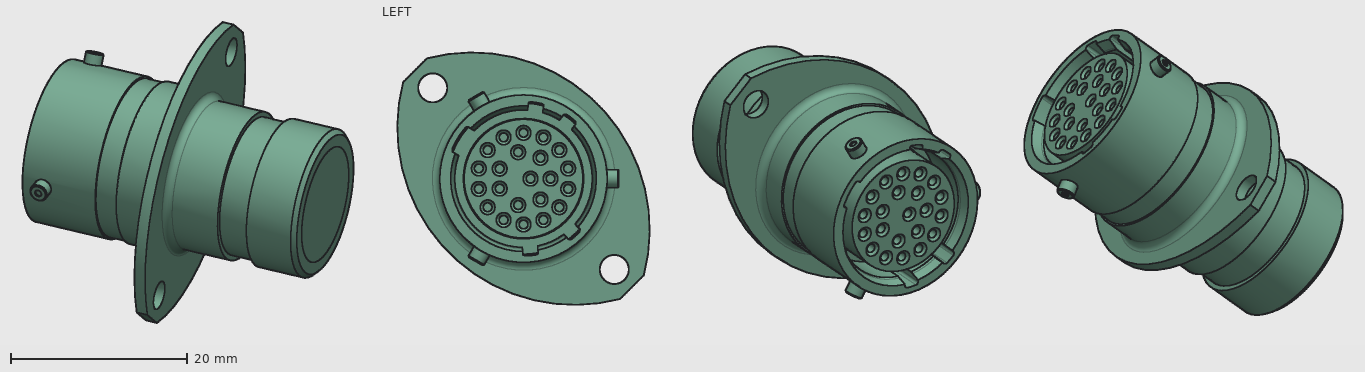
import cadquery as cq
import math


TOTAL_LENGTH = 33.3
FRONT_BARREL_END = 9.0
FRONT_GROOVE_END = 11.6
FLANGE_FRONT = 15.92
FLANGE_THICKNESS = 1.33
FLANGE_BACK = FLANGE_FRONT + FLANGE_THICKNESS
REAR_BARREL_END = 23.75
REAR_GROOVE_END = 27.3

FRONT_RADIUS = 9.5
FRONT_GROOVE_RADIUS = 9.25
REAR_RADIUS = 8.65
REAR_GROOVE_RADIUS = 8.05
FLANGE_FILLET = 0.85
REAR_CHAMFER = 0.53

FLANGE_HALF_EXTENT = 14.32
FLANGE_ARC_RADIUS = 20.12
FLANGE_ARC_OFFSET = (FLANGE_ARC_RADIUS - FLANGE_HALF_EXTENT) * math.sqrt(2)
FLANGE_TIP = 17.4
FLANGE_TILT = 45.0
MOUNT_HOLE_DISTANCE = 14.55
MOUNT_HOLE_RADIUS = 1.63

MOUTH_RADIUS = 8.25
CONE_END_RADIUS = 7.9
CONE_LENGTH = 1.2
LAND_RADIUS = 7.8
LEAD_LENGTH = 0.25
SOCKET_DEPTH = 6.65

KEYWAY_RADIUS = 8.75
KEYWAY_FILLET = 0.33
KEY_WIDTH = 1.73
MASTER_KEY_WIDTH = 3.33
KEYWAYS = [
    (9.7, KEY_WIDTH),
    (37.9, KEY_WIDTH),
    (137.7, KEY_WIDTH),
    (174.6, KEY_WIDTH),
    (301.9, MASTER_KEY_WIDTH),
]

SEAL_RADIUS = 8.65
SEAL_THICKNESS = 1.0
SEAL_CHAMFER = 0.1

INSERT_RADIUS = 6.73
INSERT_FACE = 0.53
CONTACT_MOUTH_RADIUS = 0.83
CONTACT_RADIUS = 0.5
CONTACT_CONE_DEPTH = 0.33
CONTACT_DEPTH = 2.0
OUTER_CONTACT_COUNT = 14
OUTER_CONTACT_CIRCLE = 5.2
ROW_CONTACTS = [(-0.8, 0.0), (-3.05, 0.0)]
MIRRORED_CONTACTS = [(-1.93, 2.35), (0.6, 3.0), (2.7, 1.13)]

PIN_X = 2.53
PIN_RADIUS = 1.03
PIN_SEAT = 8.75
PIN_TIP = 10.83
PIN_CHAMFER = 0.13
PIN_DIMPLE_RADIUS = 0.4
PIN_DIMPLE_DEPTH = 0.2
PIN_CLOCK_ANGLES = [90.0, 210.0, 330.0]


def axial_cylinder(radius, start, end):
    """Cylinder about the X axis between two X positions."""
    return cq.Workplane("YZ", origin=(start, 0, 0)).circle(radius).extrude(end - start)


def axial_cone(start_radius, end_radius, start, end):
    """Frustum about the X axis between two X positions."""
    profile = [(start, 0), (start, start_radius), (end, end_radius), (end, 0)]
    return cq.Workplane("XZ").polyline(profile).close().revolve(360, (0, 0, 0), (1, 0, 0))


def turn_to_clock(body, clock_angle):
    """Turn a body that points along +Z to a clock angle about the X axis."""
    return body.rotate((0, 0, 0), (1, 0, 0), clock_angle)


def make_shell_outside():
    """Turned outside of the shell, with concave fillets running up to the flange."""
    fillet_middle = FLANGE_FILLET * math.sqrt(0.5)
    front_foot = FLANGE_FRONT - FLANGE_FILLET
    front_rise = FRONT_RADIUS + FLANGE_FILLET
    rear_foot = FLANGE_BACK + FLANGE_FILLET
    rear_rise = REAR_RADIUS + FLANGE_FILLET
    return (
        cq.Workplane("XZ")
        .moveTo(0, 0)
        .lineTo(0, FRONT_RADIUS)
        .lineTo(FRONT_BARREL_END, FRONT_RADIUS)
        .lineTo(FRONT_BARREL_END, FRONT_GROOVE_RADIUS)
        .lineTo(FRONT_GROOVE_END, FRONT_GROOVE_RADIUS)
        .lineTo(FRONT_GROOVE_END, FRONT_RADIUS)
        .lineTo(front_foot, FRONT_RADIUS)
        .threePointArc((front_foot + fillet_middle, front_rise - fillet_middle), (FLANGE_FRONT, front_rise))
        .lineTo(FLANGE_BACK, front_rise)
        .lineTo(FLANGE_BACK, rear_rise)
        .threePointArc((rear_foot - fillet_middle, rear_rise - fillet_middle), (rear_foot, REAR_RADIUS))
        .lineTo(REAR_BARREL_END, REAR_RADIUS)
        .lineTo(REAR_BARREL_END, REAR_GROOVE_RADIUS)
        .lineTo(REAR_GROOVE_END, REAR_GROOVE_RADIUS)
        .lineTo(REAR_GROOVE_END, REAR_RADIUS)
        .lineTo(TOTAL_LENGTH - REAR_CHAMFER, REAR_RADIUS)
        .lineTo(TOTAL_LENGTH, REAR_RADIUS - REAR_CHAMFER)
        .lineTo(TOTAL_LENGTH, 0)
        .close()
        .revolve(360, (0, 0, 0), (1, 0, 0))
    )


def make_flange():
    """Lens-shaped plate with cut-off tips and two mounting holes."""
    tip_half_width = math.sqrt(FLANGE_ARC_RADIUS**2 - FLANGE_TIP**2) - FLANGE_ARC_OFFSET
    arc_peak = FLANGE_ARC_RADIUS - FLANGE_ARC_OFFSET
    plate = (
        cq.Workplane("YZ", origin=(FLANGE_FRONT, 0, 0))
        .moveTo(FLANGE_TIP, tip_half_width)
        .threePointArc((0, arc_peak), (-FLANGE_TIP, tip_half_width))
        .lineTo(-FLANGE_TIP, -tip_half_width)
        .threePointArc((0, -arc_peak), (FLANGE_TIP, -tip_half_width))
        .close()
        .extrude(FLANGE_THICKNESS)
    )
    holes = (
        cq.Workplane("YZ", origin=(FLANGE_FRONT, 0, 0))
        .pushPoints([(MOUNT_HOLE_DISTANCE, 0), (-MOUNT_HOLE_DISTANCE, 0)])
        .circle(MOUNT_HOLE_RADIUS)
        .extrude(FLANGE_THICKNESS)
    )
    return plate.cut(holes).rotate((0, 0, 0), (1, 0, 0), FLANGE_TILT)


def make_keyway(clock_angle, width):
    """Cutter for one keyway: a bar with a curved outer face and rounded outer corners."""
    bar = cq.Workplane("XY").rect(2 * SOCKET_DEPTH, width).extrude(FRONT_RADIUS)
    bar = bar.intersect(axial_cylinder(KEYWAY_RADIUS, 0, SOCKET_DEPTH))
    outer_corners = cq.selectors.BoxSelector(
        (0, -width, LAND_RADIUS), (SOCKET_DEPTH, width, FRONT_RADIUS)
    )
    bar = bar.edges("|X").edges(outer_corners).fillet(KEYWAY_FILLET)
    return turn_to_clock(bar, clock_angle)


def make_socket():
    """Cutter for the tapered socket, its keyways, the seal seat and the insert bore."""
    lead_end = CONE_LENGTH + LEAD_LENGTH
    socket = axial_cone(MOUTH_RADIUS, CONE_END_RADIUS, 0, CONE_LENGTH)
    socket = socket.union(axial_cone(CONE_END_RADIUS, LAND_RADIUS, CONE_LENGTH, lead_end))
    socket = socket.union(axial_cylinder(LAND_RADIUS, lead_end, SOCKET_DEPTH))
    for clock_angle, width in KEYWAYS:
        socket = socket.union(make_keyway(clock_angle, width))
    socket = socket.union(axial_cylinder(SEAL_RADIUS, SOCKET_DEPTH, SOCKET_DEPTH + SEAL_THICKNESS))
    return socket.union(axial_cylinder(INSERT_RADIUS, SOCKET_DEPTH, TOTAL_LENGTH))


def make_pin_blank(clock_angle):
    """Plain chamfered pin standing on its seat."""
    blank = (
        cq.Workplane("XY", origin=(PIN_X, 0, PIN_SEAT))
        .circle(PIN_RADIUS)
        .extrude(PIN_TIP - PIN_SEAT)
        .faces(">Z")
        .chamfer(PIN_CHAMFER)
    )
    return turn_to_clock(blank, clock_angle)


def make_pin(clock_angle):
    """Bayonet pin with a shallow dimple in its end."""
    dimple = (
        cq.Workplane("XY", origin=(PIN_X, 0, PIN_TIP - PIN_DIMPLE_DEPTH))
        .circle(PIN_DIMPLE_RADIUS)
        .extrude(PIN_DIMPLE_DEPTH)
    )
    return make_pin_blank(clock_angle).cut(turn_to_clock(dimple, clock_angle))


def make_shell():
    """Shell and flange in one piece, with the socket and the pin seats cut in."""
    shell = make_shell_outside().union(make_flange()).cut(make_socket())
    for clock_angle in PIN_CLOCK_ANGLES:
        shell = shell.cut(make_pin_blank(clock_angle))
    return shell


def make_seal():
    """Ring around the insert, chamfered on both front edges."""
    ring = axial_cylinder(SEAL_RADIUS, SOCKET_DEPTH, SOCKET_DEPTH + SEAL_THICKNESS)
    ring = ring.cut(axial_cylinder(INSERT_RADIUS, SOCKET_DEPTH, SOCKET_DEPTH + SEAL_THICKNESS))
    return ring.faces("<X").chamfer(SEAL_CHAMFER)


def contact_positions():
    """(Y, Z) of every contact hole: a full outer circle and the inner group."""
    positions = list(ROW_CONTACTS)
    for y, z in MIRRORED_CONTACTS:
        positions += [(y, z), (y, -z)]
    for index in range(OUTER_CONTACT_COUNT):
        angle = 2 * math.pi * index / OUTER_CONTACT_COUNT
        positions.append((OUTER_CONTACT_CIRCLE * math.sin(angle), OUTER_CONTACT_CIRCLE * math.cos(angle)))
    return positions


def make_insert():
    """Cylindrical insert, flush with the rear end, with countersunk contact holes in its face."""
    insert = axial_cylinder(INSERT_RADIUS, INSERT_FACE, TOTAL_LENGTH)
    cone_end = INSERT_FACE + CONTACT_CONE_DEPTH
    hole = axial_cone(CONTACT_MOUTH_RADIUS, CONTACT_RADIUS, INSERT_FACE, cone_end)
    hole = hole.union(axial_cylinder(CONTACT_RADIUS, INSERT_FACE, INSERT_FACE + CONTACT_DEPTH))
    for y, z in contact_positions():
        insert = insert.cut(hole.translate((0, y, z)))
    return insert


shell = make_shell()
seal = make_seal()
insert = make_insert()
pins = [make_pin(clock_angle) for clock_angle in PIN_CLOCK_ANGLES]

result = cq.Compound.makeCompound(
    [shell.val(), seal.val(), insert.val(), *[pin.val() for pin in pins]]
)